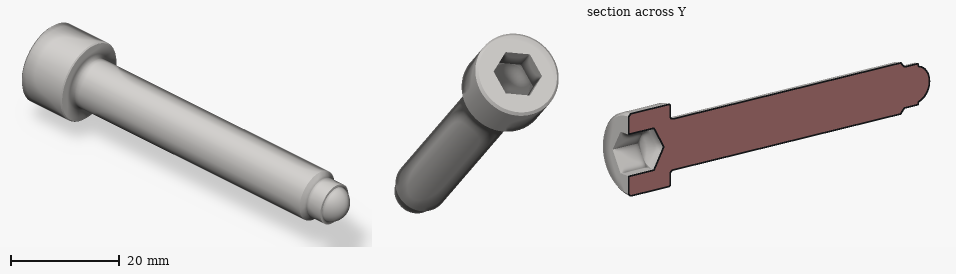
import cadquery as cq
import math

total_length = 71.7
head_length = 10.0
shank_end = 65.7
dog_end = 69.0

head_radius = 16.0 / 2
shank_radius = 10.0 / 2
dog_radius = 8.0 / 2
ball_radius = 3.6

head_front_chamfer = 0.5
head_back_chamfer = 0.2
neck_fillet = 0.65
shank_chamfer_length = 0.85

socket_flats = 8.0
socket_depth = 6.0
drill_point_angle = 120.0


def make_body():
    """Revolve the head, shank, dog point and ball end about the X axis."""
    ball_centre = total_length - ball_radius
    ball_base_radius = math.sqrt(ball_radius**2 - (dog_end - ball_centre) ** 2)
    half_angle = math.atan2(ball_base_radius, dog_end - ball_centre) / 2
    ball_middle = (
        ball_centre + ball_radius * math.cos(half_angle),
        ball_radius * math.sin(half_angle),
    )
    fillet_centre = (head_length + neck_fillet, shank_radius + neck_fillet)
    fillet_offset = neck_fillet * math.sqrt(0.5)
    fillet_middle = (fillet_centre[0] - fillet_offset, fillet_centre[1] - fillet_offset)

    profile = (
        cq.Workplane("XY")
        .moveTo(0, 0)
        .lineTo(0, head_radius - head_front_chamfer)
        .lineTo(head_front_chamfer, head_radius)
        .lineTo(head_length - head_back_chamfer, head_radius)
        .lineTo(head_length, head_radius - head_back_chamfer)
        .lineTo(head_length, fillet_centre[1])
        .threePointArc(fillet_middle, (fillet_centre[0], shank_radius))
        .lineTo(shank_end - shank_chamfer_length, shank_radius)
        .lineTo(shank_end, dog_radius)
        .lineTo(dog_end, dog_radius)
        .lineTo(dog_end, ball_base_radius)
        .threePointArc(ball_middle, (total_length, 0))
        .close()
    )
    return profile.revolve(360, (0, 0, 0), (1, 0, 0))


def make_socket():
    """Hexagonal recess, corners pointing along Y, ending in a drill cone."""
    socket_corners = socket_flats / math.cos(math.pi / 6)
    hexagon = (
        cq.Workplane("YZ")
        .polygon(6, socket_corners)
        .extrude(socket_depth)
    )
    cone_radius = socket_flats / 2
    cone_depth = cone_radius / math.tan(math.radians(drill_point_angle / 2))
    cone = cq.Solid.makeCone(
        cone_radius,
        0,
        cone_depth,
        pnt=cq.Vector(socket_depth, 0, 0),
        dir=cq.Vector(1, 0, 0),
    )
    return hexagon.union(cq.Workplane(cone))


result = make_body().cut(make_socket())